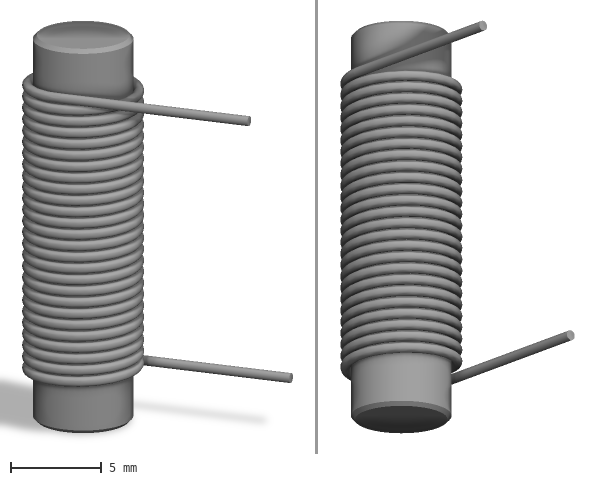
import cadquery as cq


core_length = 22.18
core_diameter = 5.55
core_chamfer = 0.22

wire_diameter = 0.55
coil_outer_diameter = 6.72
coil_height = 16.64
turns = 25.5

stub_end = 4.44
terminal_end = 11.1

wire_radius = wire_diameter / 2
coil_radius = coil_outer_diameter / 2 - wire_radius
coil_pitch = coil_height / turns


def make_core():
    """Plain rod with a chamfer around both ends, centred on the origin."""
    rod = cq.Workplane("XY").cylinder(core_length, core_diameter / 2)
    return rod.faces("|Z").edges().chamfer(core_chamfer)


def make_coil():
    """Right-handed helix from the +Y side at the bottom to the -Y side at the top.

    The wire section stands in a plane through the core axis, so both end faces
    lie in the plane X = 0 and meet the straight leads squarely.
    """
    path = cq.Wire.makeHelix(coil_pitch, coil_height, coil_radius)
    section = cq.Workplane("XZ").center(coil_radius, 0).circle(wire_radius)
    coil = section.sweep(cq.Workplane(path), isFrenet=True)
    return coil.rotate((0, 0, 0), (0, 0, 1), 90).translate((0, 0, -coil_height / 2))


def make_straight_wire(start_x, end_x, y, z):
    """Round wire parallel to X."""
    section = cq.Workplane("YZ", origin=(start_x, y, z)).circle(wire_radius)
    return section.extrude(end_x - start_x)


core = make_core()
coil = make_coil()

stubs = []
terminals = []
for end in (-1, 1):
    lead_y = -end * coil_radius
    lead_z = end * coil_height / 2
    stubs.append(make_straight_wire(0, stub_end, lead_y, lead_z))
    terminals.append(make_straight_wire(stub_end, terminal_end, lead_y, lead_z))

result = cq.Compound.makeCompound(
    [core.val(), coil.val()]
    + [stub.val() for stub in stubs]
    + [terminal.val() for terminal in terminals]
)